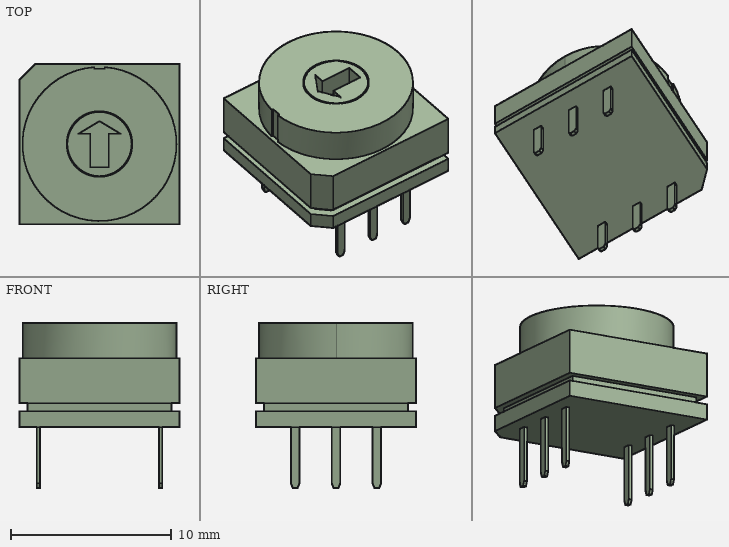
import cadquery as cq

total_height = 10.3
body_width = 10.0
key_chamfer = 1.0

plate_thickness = 1.0
groove_height = plate_thickness / 2
groove_depth = plate_thickness / 2
housing_height = 2.8
pin_length = 3.8

groove_top = plate_thickness + groove_height
housing_top = groove_top + housing_height
knob_top = total_height - pin_length
knob_height = knob_top - housing_top

knob_diameter = 9.6
notch_width = 0.64
notch_depth = 0.12
rotor_diameter = 4.0
ring_outer_diameter = 4.1
ring_depth = 0.1

arrow_tip_y = 1.43
arrow_shoulder_y = 0.63
arrow_tail_y = -1.46
arrow_head_width = 2.64
arrow_shaft_width = 1.13
arrow_depth = 1.5

pins_per_row = 3
pin_pitch = 2.54
pin_row_spacing = 3 * pin_pitch
pin_thickness = 0.22
pin_width = 0.55
pin_tip_width = 0.3
pin_tip_height = 0.3


def square_with_key(bottom, height):
    """Square block centred on Z with its keying corner cut off."""
    block = cq.Workplane("XY").workplane(offset=bottom).rect(body_width, body_width).extrude(height)
    return block.edges("|Z and <X and >Y").chamfer(key_chamfer)


def make_housing():
    """Base plate and housing joined by a neck set back evenly on every side."""
    plate = square_with_key(0, plate_thickness)
    neck = plate.faces(">Z").wires().toPending().offset2D(-groove_depth).extrude(groove_height)
    housing = square_with_key(groove_top, housing_height)
    return neck.union(housing)


def make_knob():
    """Round dial with a small notch through its rim at +Y."""
    dial = cq.Workplane("XY").workplane(offset=housing_top).circle(knob_diameter / 2).extrude(knob_height)
    notch = (
        cq.Workplane("XY")
        .workplane(offset=housing_top)
        .center(0, knob_diameter / 2)
        .rect(notch_width, 2 * notch_depth)
        .extrude(knob_height)
    )
    return dial.cut(notch)


def make_ring_groove():
    """Thin ring that separates the rotor from the dial."""
    return (
        cq.Workplane("XY")
        .workplane(offset=knob_top)
        .circle(ring_outer_diameter / 2)
        .circle(rotor_diameter / 2)
        .extrude(-ring_depth)
    )


def make_arrow_pocket():
    half_head = arrow_head_width / 2
    half_shaft = arrow_shaft_width / 2
    outline = [
        (0, arrow_tip_y),
        (half_head, arrow_shoulder_y),
        (half_shaft, arrow_shoulder_y),
        (half_shaft, arrow_tail_y),
        (-half_shaft, arrow_tail_y),
        (-half_shaft, arrow_shoulder_y),
        (-half_head, arrow_shoulder_y),
    ]
    return cq.Workplane("XY").workplane(offset=knob_top).polyline(outline).close().extrude(-arrow_depth)


def make_pins():
    """Flat pins whose ends taper across their width."""
    half_width = pin_width / 2
    half_tip = pin_tip_width / 2
    taper_start = -pin_length + pin_tip_height
    outline = [
        (-half_width, 0),
        (half_width, 0),
        (half_width, taper_start),
        (half_tip, -pin_length),
        (-half_tip, -pin_length),
        (-half_width, taper_start),
    ]
    pin = cq.Workplane("YZ").polyline(outline).close().extrude(pin_thickness / 2, both=True)
    places = cq.Workplane("XY").rarray(pin_row_spacing, pin_pitch, 2, pins_per_row)
    return places.eachpoint(lambda place: pin.val().moved(place))


result = (
    make_housing()
    .union(make_knob())
    .cut(make_ring_groove())
    .cut(make_arrow_pocket())
    .union(make_pins())
)